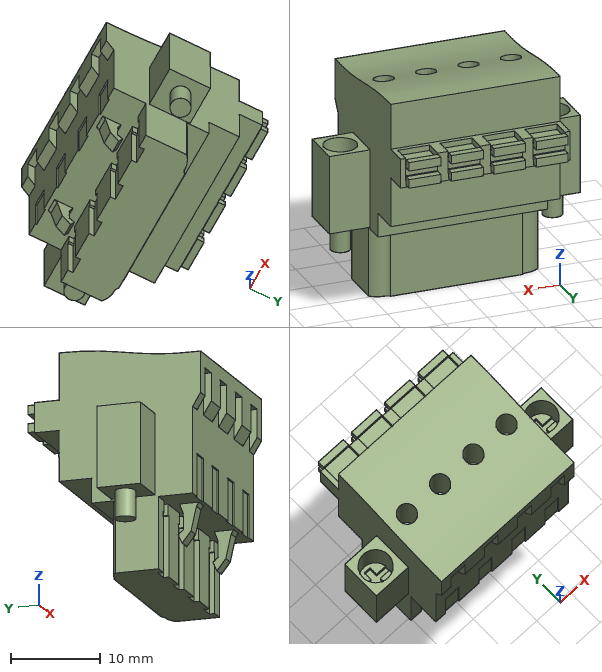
import cadquery as cq


poles = 4
pitch = 5.1
housing_width = 20.33
pole_xs = [(i - (poles - 1) / 2) * pitch for i in range(poles)]

wall_front_y = 0.93
body_back_y = 16.72
step_back_y = 12.9
body_bottom_z = 8.4
step_z = 11.3
overhang_z = 20.0
overhang_end_z = 18.45

top_z = 26.23
front_top_z = 24.82
back_strip_y = 16.42
slope_start_y = 9.88
slope_start_z = 25.7
slope_end_y = 7.08
slope_end_z = 25.25

ledge_back_y = 19.65
ledge_bottom_z = 17.23
ledge_top_z = 20.75

lever_width = 3.83
lever_front_y = 17.25
lever_back_y = 20.63
lip_front_y = 19.75
lip_bottom_z = 17.53
lip_top_z = 20.65
lip_overhang = 0.57
lip_slot_height = 1.05
bar_slot_height = 0.93
bar_bottom_z = lip_bottom_z + lip_overhang
bar_top_z = lip_top_z - lip_overhang
lever_mid_z = (lip_bottom_z + lip_top_z) / 2

plug_front_y = 4.97
plug_corner_y = 10.05
plug_back_y = 11.02
crest_inset = 1.7
crest_y = 10.75
rise_width = 0.57
crest_radius = 2.4
rise_radius = 0.75

channel_width = 1.85
channel_neck_width = 1.33
channel_neck_z = 7.08
channel_depth = 0.63

recess_width = 2.1
upper_recess_top_z = 23.25
lower_recess_width = 2.05
lower_recess_top_z = 13.4
lower_recess_depth = 0.18

wire_hole_diameter = 2.35
wire_hole_y = 8.28
wire_hole_depth = 6.02

latch_width = 1.5
latch_x = 5.78
latch_outline = [
    (3.75, body_bottom_z),
    (3.35, 7.32),
    (3.3, 5.4),
    (3.95, 4.88),
    (3.45, 3.83),
    (2.4, 5.15),
    (1.78, 7.95),
    (1.45, body_bottom_z),
]

total_width = 30.12
flange_front_y = 5.4
flange_back_y = 10.5
flange_bottom_z = 8.6
flange_top_z = 18.07

screw_x = (poles + 1) / 2 * pitch
screw_y = 7.98
head_hole_diameter = 3.9
head_diameter = 3.75
head_top_z = 13.55
head_bottom_z = 10.55
shaft_diameter = 2.35
shaft_bottom_z = 5.4
cross_depth = 0.6
cross_slot_width = 0.63
cross_bar_width = 0.87
cross_bar_length = 2.75


def box(x_limits, y_limits, z_limits):
    """Box between two limits along each axis."""
    limits = (x_limits, y_limits, z_limits)
    sizes = [high - low for low, high in limits]
    corner = tuple(low for low, high in limits)
    return cq.Workplane("XY").box(*sizes, centered=False).translate(corner)


def centred(x, width):
    """Limits of a width centred on x."""
    return (x - width / 2, x + width / 2)


def upright_cylinder(x, y, bottom_z, top_z, diameter):
    base = cq.Workplane("XY", origin=(x, y, bottom_z))
    return base.circle(diameter / 2).extrude(top_z - bottom_z)


def extrude_along_x(profile, x, width):
    """Extrude a YZ profile over a width centred on x."""
    return profile.extrude(width / 2, both=True).translate((x, 0, 0))


def housing_body():
    profile = (
        cq.Workplane("YZ")
        .moveTo(step_back_y, body_bottom_z)
        .lineTo(step_back_y, step_z)
        .lineTo(body_back_y, step_z)
        .lineTo(body_back_y, ledge_bottom_z)
        .lineTo(ledge_back_y, ledge_bottom_z)
        .lineTo(ledge_back_y, ledge_top_z)
        .lineTo(body_back_y, ledge_top_z)
        .lineTo(body_back_y, top_z)
        .lineTo(back_strip_y, top_z)
        .tangentArcPoint((slope_start_y, slope_start_z), relative=False)
        .tangentArcPoint((slope_end_y, slope_end_z), relative=False)
        .tangentArcPoint((wall_front_y, front_top_z), relative=False)
        .lineTo(0, front_top_z)
        .lineTo(0, overhang_z)
        .lineTo(wall_front_y, overhang_end_z)
        .lineTo(wall_front_y, body_bottom_z)
        .close()
    )
    return extrude_along_x(profile, 0, housing_width)


def plug():
    """Plug whose back swells out from both ends in a rounded crest."""
    half = housing_width / 2
    crest = half - crest_inset
    flat = crest - rise_width
    outline = (
        cq.Workplane("XY")
        .moveTo(-half, plug_front_y)
        .lineTo(half, plug_front_y)
        .lineTo(half, plug_corner_y)
        .radiusArc((crest, crest_y), -crest_radius)
        .radiusArc((flat, plug_back_y), rise_radius)
        .lineTo(-flat, plug_back_y)
        .radiusArc((-crest, crest_y), rise_radius)
        .radiusArc((-half, plug_corner_y), -crest_radius)
        .close()
    )
    return outline.extrude(body_bottom_z)


def contact_channel(x):
    depth = (plug_front_y, plug_front_y + channel_depth)
    channel = box(centred(x, channel_width), depth, (0, channel_neck_z))
    neck = box(centred(x, channel_neck_width), depth, (channel_neck_z, body_bottom_z))
    return channel.union(neck)


def latch(x):
    """Hook that hangs from the body and bends back towards the plug."""
    profile = cq.Workplane("YZ").polyline(latch_outline).close()
    return extrude_along_x(profile, x, latch_width)


def flange(side):
    x_limits = sorted((side * housing_width / 2, side * total_width / 2))
    return box(x_limits, (flange_front_y, flange_back_y), (flange_bottom_z, flange_top_z))


def screw_hole(x):
    head_hole = upright_cylinder(x, screw_y, head_bottom_z, flange_top_z, head_hole_diameter)
    shaft_hole = upright_cylinder(x, screw_y, flange_bottom_z, head_bottom_z, shaft_diameter)
    return head_hole.union(shaft_hole)


def lever_pocket(x):
    return box(centred(x, lever_width), (lever_front_y, ledge_back_y), (bar_bottom_z, ledge_top_z))


def wall_recesses(x):
    upper = box(centred(x, recess_width), (0, wall_front_y), (overhang_end_z, upper_recess_top_z))
    lower = box(
        centred(x, lower_recess_width),
        (wall_front_y, wall_front_y + lower_recess_depth),
        (body_bottom_z, lower_recess_top_z),
    )
    return upper.union(lower)


def wire_hole(x):
    return upright_cylinder(x, wire_hole_y, front_top_z - wire_hole_depth, top_z, wire_hole_diameter)


def build_housing():
    housing = housing_body().union(plug())
    for side in (-1, 1):
        housing = housing.union(flange(side))
        housing = housing.union(latch(side * latch_x))
        housing = housing.cut(screw_hole(side * screw_x))
    for x in pole_xs:
        housing = housing.cut(wall_recesses(x))
        housing = housing.cut(contact_channel(x))
        housing = housing.cut(wire_hole(x))
        housing = housing.cut(lever_pocket(x))
    return housing


def build_lever(x):
    """Lever bar ending in a lip, with a slot across the outer end."""
    x_limits = centred(x, lever_width)
    bar = box(x_limits, (lever_front_y, lip_front_y), (bar_bottom_z, bar_top_z))
    lip = box(x_limits, (lip_front_y, lever_back_y), (lip_bottom_z, lip_top_z))
    bar_slot = box(x_limits, (ledge_back_y, lip_front_y), centred(lever_mid_z, bar_slot_height))
    lip_slot = box(x_limits, (lip_front_y, lever_back_y), centred(lever_mid_z, lip_slot_height))
    return bar.union(lip).cut(bar_slot).cut(lip_slot)


def build_screw(x):
    """Screw with a cross recess in its head."""
    head = upright_cylinder(x, screw_y, head_bottom_z, head_top_z, head_diameter)
    shaft = upright_cylinder(x, screw_y, shaft_bottom_z, head_bottom_z, shaft_diameter)
    recess_z = (head_top_z - cross_depth, head_top_z)
    slot = box(centred(x, head_diameter), centred(screw_y, cross_slot_width), recess_z)
    cross_bar = box(centred(x, cross_bar_width), centred(screw_y, cross_bar_length), recess_z)
    return head.union(shaft).cut(slot).cut(cross_bar)


housing = build_housing()
levers = [build_lever(x) for x in pole_xs]
screws = [build_screw(side * screw_x) for side in (-1, 1)]

result = cq.Compound.makeCompound(
    [
        housing.val(),
        *[lever.val() for lever in levers],
        *[screw.val() for screw in screws],
    ]
)